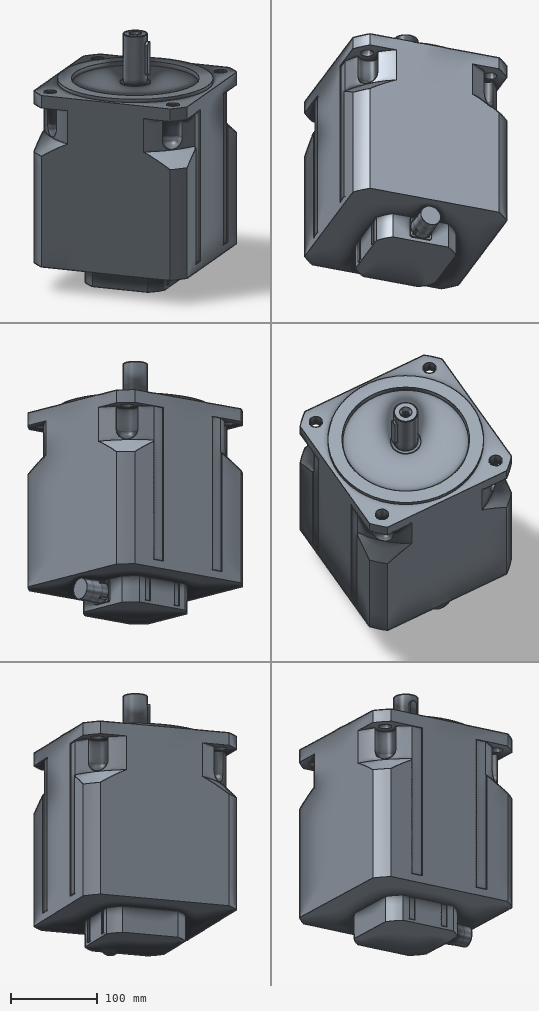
import cadquery as cq
import math


frame_width = 190.0
frame_envelope_radius = 124.0
frame_length = 206.0
flange_thickness = 15.0

pilot_diameter = 180.0
pilot_height = 4.0
recess_rim_diameter = 147.5
recess_floor_diameter = 145.5
recess_depth = 5.0

bolt_circle_diameter = 215.0
bolt_hole_diameter = 15.0
bolt_channel_diameter = 26.0
bolt_channel_circle_diameter = 203.0
bolt_channel_length = 27.0
pocket_radius = 106.0
pocket_length = 40.0

side_groove_offset = 44.0
side_groove_width = 14.0
side_groove_depth = 1.5
side_groove_end_margin = 9.5

cap_width = 98.0
cap_envelope_radius = 59.8
cap_length = 31.0
cap_groove_offset = 22.0
cap_groove_width = 7.6
cap_groove_end_margin = 3.7

connector_drop = 13.7
connector_reach = 82.8
connector_nose_diameter = 24.4
connector_nose_length = 10.3
connector_taper_length = 12.1
connector_collar_diameter = 25.8
connector_plate_thickness = 2.0
connector_plate_corner = 2.7
screw_diameter = 2.7
screw_offset = 8.8

shaft_diameter = 28.0
shaft_length = 58.0
shaft_chamfer = 0.8
journal_diameter = 35.0
journal_length = 20.0
shoulder_height = 1.0
centre_mouth_diameter = 14.2
centre_hole_diameter = 8.5
centre_hole_depth = 22.0
centre_cone_angle = 60.0
drill_point_angle = 118.0

key_width = 8.0
key_height = 7.0
key_length = 40.0
key_top = 17.0
key_end_gap = 8.5

recess_floor_z = pilot_height - recess_depth


def corner_points(circle_diameter):
    """Four points on a circle about Z, one towards each corner of the frame."""
    offset = circle_diameter / 2 * math.sin(math.radians(45))
    return [(sx * offset, sy * offset) for sx in (-1, 1) for sy in (-1, 1)]


def rounded_square(width, envelope_radius, top_z, length):
    """Square block hanging down from top_z, its corners trimmed by a cylinder about Z."""
    block = cq.Workplane("XY").workplane(offset=top_z).rect(width, width).extrude(-length)
    envelope = cq.Workplane("XY").workplane(offset=top_z).circle(envelope_radius).extrude(-length)
    return block.intersect(envelope)


def side_grooves(width, offset, groove_width, top_z, bottom_z):
    """Cutters for two grooves on each X face of a square block."""
    points = [(sx * width / 2, sy * offset) for sx in (-1, 1) for sy in (-1, 1)]
    return (
        cq.Workplane("XY").workplane(offset=bottom_z)
        .pushPoints(points)
        .rect(2 * side_groove_depth, groove_width)
        .extrude(top_z - bottom_z)
    )


def pocket_ring():
    """Ring cut that opens the frame corners behind the flange and runs out in a 45 degree cone."""
    outer_radius = frame_width
    pocket_top = -flange_thickness
    pocket_bottom = pocket_top - pocket_length
    return (
        cq.Workplane("XZ")
        .moveTo(pocket_radius, pocket_top)
        .lineTo(pocket_radius, pocket_bottom)
        .lineTo(outer_radius, pocket_bottom - (outer_radius - pocket_radius))
        .lineTo(outer_radius, pocket_top)
        .close()
        .revolve(360, (0, 0, 0), (0, 1, 0))
    )


def bolt_channels():
    """Ball-ended clearance channels for the bolt heads."""
    radius = bolt_channel_diameter / 2
    points = corner_points(bolt_channel_circle_diameter)
    channels = (
        cq.Workplane("XY").workplane(offset=-flange_thickness)
        .pushPoints(points)
        .circle(radius).extrude(-bolt_channel_length)
    )
    balls = (
        cq.Workplane("XY").workplane(offset=-flange_thickness - bolt_channel_length)
        .pushPoints(points)
        .sphere(radius)
    )
    return channels.union(balls)


def make_frame():
    frame = rounded_square(frame_width, frame_envelope_radius, 0, frame_length)
    frame = frame.cut(pocket_ring()).cut(bolt_channels())
    groove_bottom = -frame_length + side_groove_end_margin
    frame = frame.cut(side_grooves(
        frame_width, side_groove_offset, side_groove_width, -flange_thickness, groove_bottom))
    bolt_holes = (
        cq.Workplane("XY").pushPoints(corner_points(bolt_circle_diameter))
        .circle(bolt_hole_diameter / 2).extrude(-flange_thickness)
    )
    pilot = cq.Workplane("XY").circle(pilot_diameter / 2).extrude(pilot_height)
    recess = (
        cq.Workplane("XY").workplane(offset=recess_floor_z).circle(recess_floor_diameter / 2)
        .workplane(offset=recess_depth).circle(recess_rim_diameter / 2)
        .loft(ruled=True)
    )
    journal_bore = (
        cq.Workplane("XY").workplane(offset=recess_floor_z)
        .circle(journal_diameter / 2).extrude(-journal_length)
    )
    return frame.cut(bolt_holes).union(pilot).cut(recess).cut(journal_bore)


def make_cap():
    cap = rounded_square(cap_width, cap_envelope_radius, -frame_length, cap_length)
    groove_bottom = -frame_length - cap_length + cap_groove_end_margin
    return cap.cut(side_grooves(
        cap_width, cap_groove_offset, cap_groove_width, -frame_length, groove_bottom))


def make_connector():
    base_y = cap_width / 2
    nose_radius = connector_nose_diameter / 2
    collar_radius = connector_collar_diameter / 2
    taper_start = connector_reach - connector_nose_length
    taper_end = taper_start - connector_taper_length
    axis_z = -frame_length - connector_drop
    shell = (
        cq.Workplane("XY")
        .moveTo(0, base_y)
        .lineTo(collar_radius, base_y)
        .lineTo(collar_radius, taper_end)
        .lineTo(nose_radius, taper_start)
        .lineTo(nose_radius, connector_reach)
        .lineTo(0, connector_reach)
        .close()
        .revolve(360, (0, 0, 0), (0, 1, 0))
    )
    base = cq.Workplane("XZ", origin=(0, base_y, 0))
    plate = (
        base.rect(connector_collar_diameter, connector_collar_diameter)
        .extrude(-connector_plate_thickness)
        .edges("|Y").fillet(connector_plate_corner)
    )
    screw_grooves = (
        base.rect(2 * screw_offset, 2 * screw_offset, forConstruction=True).vertices()
        .circle(screw_diameter / 2).extrude(-(taper_end - base_y))
    )
    return shell.union(plate).cut(screw_grooves).translate((0, 0, axis_z))


def make_key():
    middle_z = shaft_length - key_end_gap - key_length / 2
    return (
        cq.Workplane("YZ", origin=(key_top - key_height, 0, middle_z))
        .slot2D(key_length, key_width, 90)
        .extrude(key_height)
    )


def centre_hole():
    """Drilled hole in the shaft end with a conical mouth and a drill point."""
    mouth_radius = centre_mouth_diameter / 2
    hole_radius = centre_hole_diameter / 2
    cone_depth = (mouth_radius - hole_radius) / math.tan(math.radians(centre_cone_angle / 2))
    point_depth = hole_radius / math.tan(math.radians(drill_point_angle / 2))
    return (
        cq.Workplane("XZ")
        .moveTo(0, shaft_length)
        .lineTo(mouth_radius, shaft_length)
        .lineTo(hole_radius, shaft_length - cone_depth)
        .lineTo(hole_radius, shaft_length - centre_hole_depth)
        .lineTo(0, shaft_length - centre_hole_depth - point_depth)
        .close()
        .revolve(360, (0, 0, 0), (0, 1, 0))
    )


def make_shaft(key_body):
    journal = (
        cq.Workplane("XY").workplane(offset=recess_floor_z - journal_length)
        .circle(journal_diameter / 2).extrude(journal_length + shoulder_height)
    )
    spindle = (
        cq.Workplane("XY").workplane(offset=recess_floor_z)
        .circle(shaft_diameter / 2).extrude(shaft_length - recess_floor_z)
        .faces(">Z").chamfer(shaft_chamfer)
    )
    return journal.union(spindle).cut(centre_hole()).cut(key_body)


housing = make_frame().union(make_cap()).union(make_connector())
key = make_key()
shaft = make_shaft(key)

result = cq.Compound.makeCompound([housing.solids().val(), shaft.solids().val(), key.solids().val()])